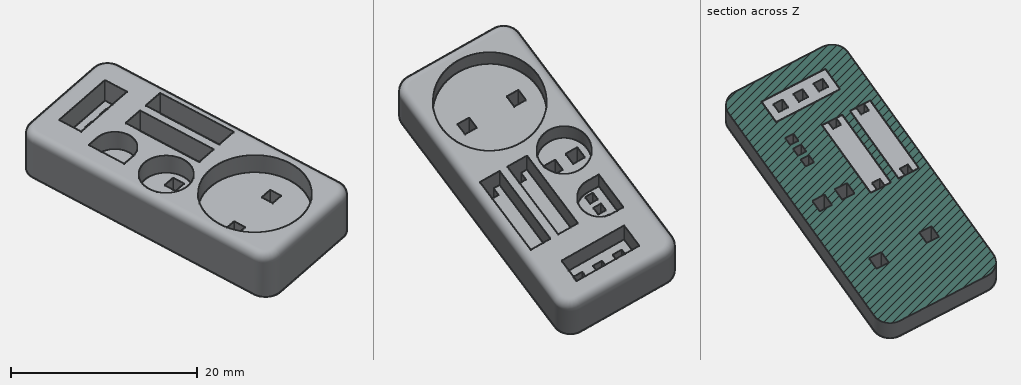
import cadquery as cq

length, width, height = 34.0, 15.0, 6.0
corner_radius = 2.0
top_edge_radius = 1.0

round_pocket_depth = 2.5
slot_depth = 3.0

large_diameter = 12.2
large_x = 9.28
large_hole_size = 1.5
large_hole_ys = (2.9, -3.4)

small_diameter = 5.9
small_x, small_y = -0.1, -3.4
small_hole_size = 1.5
small_hole_pitch = 2.82

d_radius = 2.4
d_x, d_y = -7.07, -3.4
d_flat_offset = 1.45
d_hole_size = 1.0
d_hole_pitch = 1.6

long_slot_length, long_slot_width = 10.0, 2.5
long_slot_x = -3.5
long_slot_ys = (5.05, 1.55)
long_hole_size = 1.0

upright_width, upright_length = 3.0, 8.0
upright_x, upright_y = -12.92, 0.3
upright_hole_size = 1.15
upright_hole_pitch = 2.5


def block():
    """Block with rounded upright corners and a rounded top rim, standing on z = 0."""
    body = cq.Workplane("XY").box(length, width, height, centered=(True, True, False))
    return body.edges("|Z").fillet(corner_radius).faces(">Z").edges().fillet(top_edge_radius)


def pocket_plane(depth):
    """Workplane on the floor of a pocket that is open at the top face."""
    return cq.Workplane("XY").workplane(offset=height - depth)


def round_pocket(diameter, x, y):
    return pocket_plane(round_pocket_depth).center(x, y).circle(diameter / 2).extrude(round_pocket_depth)


def slot(size_x, size_y, x, y):
    return pocket_plane(slot_depth).center(x, y).rect(size_x, size_y).extrude(slot_depth)


def d_pocket():
    """Half circle on the +Y side, closed by a straight-sided part with a flat on the -Y side."""
    outline = (
        pocket_plane(round_pocket_depth)
        .center(d_x, d_y)
        .moveTo(d_radius, -d_flat_offset)
        .lineTo(d_radius, 0)
        .threePointArc((0, d_radius), (-d_radius, 0))
        .lineTo(-d_radius, -d_flat_offset)
        .close()
    )
    return outline.extrude(round_pocket_depth)


def lead_holes(size, centers):
    """Square holes through the full height of the block."""
    return cq.Workplane("XY").pushPoints(centers).rect(size, size).extrude(height)


result = block()

result = result.cut(round_pocket(large_diameter, large_x, 0))
result = result.cut(lead_holes(large_hole_size, [(large_x, y) for y in large_hole_ys]))

small_hole_centers = [(small_x, small_y + side * small_hole_pitch / 2) for side in (-1, 1)]
result = result.cut(round_pocket(small_diameter, small_x, small_y))
result = result.cut(lead_holes(small_hole_size, small_hole_centers))

d_hole_centers = [(d_x + step * d_hole_pitch, d_y) for step in (-1, 0, 1)]
result = result.cut(d_pocket())
result = result.cut(lead_holes(d_hole_size, d_hole_centers))

long_hole_offset = (long_slot_length - long_hole_size) / 2
for slot_y in long_slot_ys:
    long_hole_centers = [(long_slot_x + side * long_hole_offset, slot_y) for side in (-1, 1)]
    result = result.cut(slot(long_slot_length, long_slot_width, long_slot_x, slot_y))
    result = result.cut(lead_holes(long_hole_size, long_hole_centers))

upright_hole_centers = [(upright_x, upright_y + step * upright_hole_pitch) for step in (-1, 0, 1)]
result = result.cut(slot(upright_width, upright_length, upright_x, upright_y))
result = result.cut(lead_holes(upright_hole_size, upright_hole_centers))